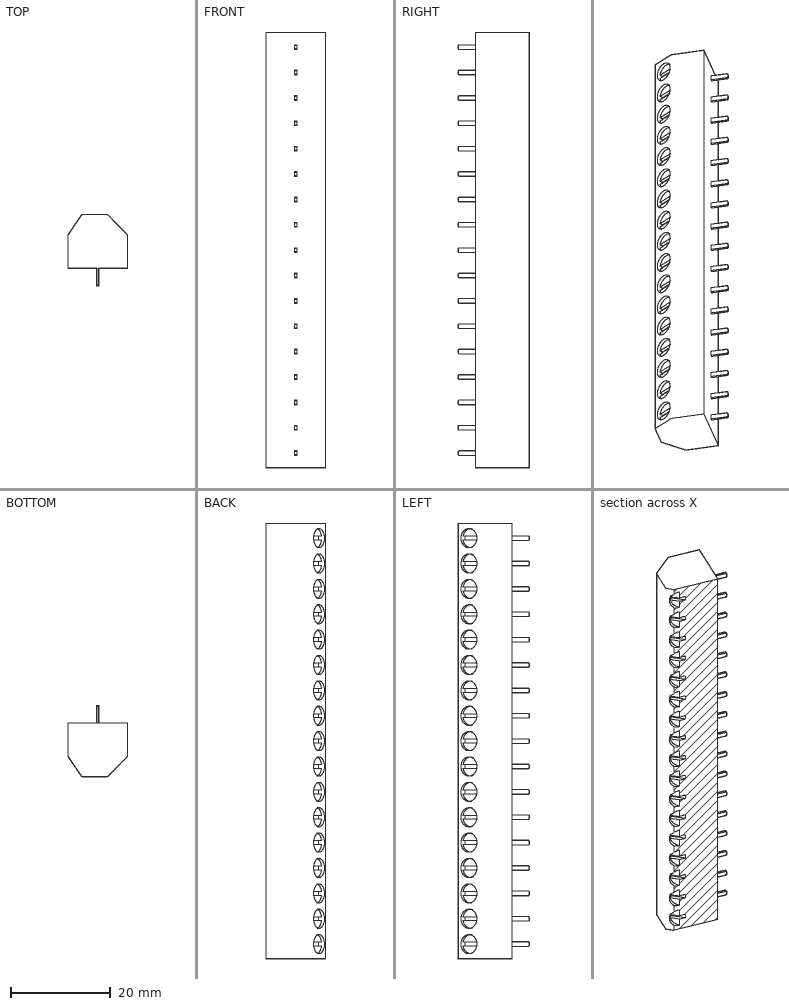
import cadquery as cq
import math

length = 87.3
width = 12.0
total_depth = 14.3
pin_projection = 3.5
body_depth = total_depth - pin_projection
entry_slope_x = 2.8
entry_slope_y = 4.1
plain_slope_x = 4.0
plain_slope_y = 4.1
fold_radius = 0.4

pole_count = 17
end_margin = 3.0
pitch = (length - 2 * end_margin) / (pole_count - 1)
pole_heights = [end_margin + i * pitch for i in range(pole_count)]

pin_thickness = 0.4
pin_width = 1.0
pin_tip_chamfer = 0.2

recess_radius = 1.9
recess_depth = 0.7
recess_from_rear = 2.2
slot_width = 0.8
slot_depth = 0.7

slope_length = math.hypot(entry_slope_x, entry_slope_y)
normal_x = -entry_slope_y / slope_length
normal_y = entry_slope_x / slope_length
recess_x = -width / 2 + entry_slope_x * (1 - recess_from_rear / entry_slope_y)
recess_y = body_depth - recess_from_rear


def make_housing():
    half = width / 2
    outline = [
        (-half, 0),
        (half, 0),
        (half, body_depth - plain_slope_y),
        (half - plain_slope_x, body_depth),
        (-half + entry_slope_x, body_depth),
        (-half, body_depth - entry_slope_y),
    ]
    bar = cq.Workplane("XY").polyline(outline).close().extrude(length)
    return bar.edges("(|Z) and (not <Y)").fillet(fold_radius)


def make_pin(z):
    pin = cq.Workplane("XY").box(pin_thickness, pin_projection, pin_width)
    pin = pin.faces("<Y").edges("|X").chamfer(pin_tip_chamfer)
    return pin.translate((0, -pin_projection / 2, z))


def make_screw_recess(z):
    face = cq.Plane(origin=(recess_x, recess_y, z), xDir=(0, 0, 1), normal=(normal_x, normal_y, 0))
    pocket = cq.Workplane(face).circle(recess_radius).extrude(-recess_depth)
    full_depth = recess_depth + slot_depth
    slot = cq.Workplane(face).rect(slot_width, 2 * recess_radius).extrude(-full_depth)
    bore = cq.Workplane(face).circle(recess_radius).extrude(-full_depth)
    return pocket.union(slot.intersect(bore))


result = make_housing()
for height in pole_heights:
    result = result.union(make_pin(height))
    result = result.cut(make_screw_recess(height))